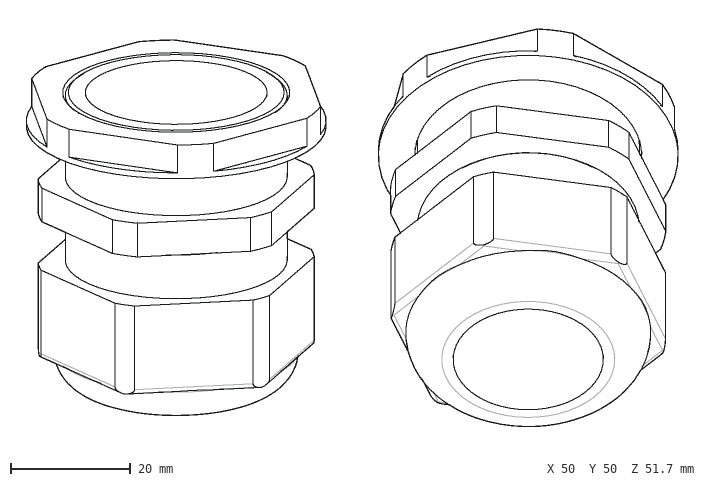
import cadquery as cq
import math

total_height = 51.7
dome_height = 6.0
cap_top = 21.9
shoulder_top = 29.7
neck_height = 1.05
collar_bottom = shoulder_top + neck_height
collar_height = 6.0

tube_radius = 18.5
tube_chamfer = 0.5
neck_radius = 17.4
dome_radius = 20.4
entry_bore_radius = 15.15
entry_bore_depth = 12.0
cable_bore_radius = 12.5

corner_radius = 23.05
collar_half_width = 21.0
cap_half_width = 20.8
cap_rounding = 1.05
flats_to_x_turn = 30

nut_height = 6.0
flange_height = 1.05
nut_half_width = 23.0
flange_diameter = 50.0
flange_radius = flange_diameter / 2
nut_bore_radius = 18.9
nut_turn = -0.6


def cylinder(radius, bottom, top):
    return cq.Workplane("XY").workplane(offset=bottom).circle(radius).extrude(top - bottom)


def hexagon(half_width, turn, bottom, top):
    """Sharp hexagonal prism, turned about Z from having flats that face +Y and -Y."""
    corner_diameter = 2 * half_width / math.cos(math.pi / 6)
    prism = cq.Workplane("XY").workplane(offset=bottom).polygon(6, corner_diameter).extrude(top - bottom)
    return prism.rotate((0, 0, 0), (0, 0, 1), turn)


def make_collar():
    """Hexagonal collar with its corners turned down."""
    top = collar_bottom + collar_height
    prism = hexagon(collar_half_width, flats_to_x_turn, collar_bottom, top)
    return prism.intersect(cylinder(corner_radius, collar_bottom, top))


def make_cap():
    """Hexagonal grip, its flats rounded off below, sitting on a round dome."""
    prism = hexagon(cap_half_width, flats_to_x_turn, dome_height, cap_top)
    prism = prism.faces("<Z").edges().fillet(cap_rounding)
    grip = prism.intersect(cylinder(corner_radius, dome_height, cap_top))
    dome = cylinder(dome_radius, 0, dome_height + cap_rounding)
    dome = dome.faces("<Z").edges().fillet(dome_height)
    return grip.union(dome)


def make_gland():
    """Cap, shoulder, neck, collar and tube in one piece, with a stepped bore."""
    shoulder = cylinder(tube_radius, cap_top, shoulder_top)
    neck = cylinder(neck_radius, shoulder_top, collar_bottom)
    tube = cylinder(tube_radius, collar_bottom, total_height).faces(">Z").chamfer(tube_chamfer)
    gland = make_cap().union(shoulder).union(neck).union(tube).union(make_collar())
    entry_bore = cylinder(entry_bore_radius, total_height - entry_bore_depth, total_height)
    cable_bore = cylinder(cable_bore_radius, 0, total_height)
    return gland.cut(entry_bore).cut(cable_bore)


def make_locknut():
    """Hexagonal nut on a round flange, bored with clearance around the tube."""
    bottom = total_height - nut_height
    prism = hexagon(nut_half_width, nut_turn, bottom, total_height)
    nut = prism.intersect(cylinder(flange_radius, bottom, total_height))
    flange = cylinder(flange_radius, bottom, bottom + flange_height)
    bore = cylinder(nut_bore_radius, bottom, total_height)
    return nut.union(flange).cut(bore)


gland = make_gland()
locknut = make_locknut()

result = cq.Compound.makeCompound([gland.val(), locknut.val()])